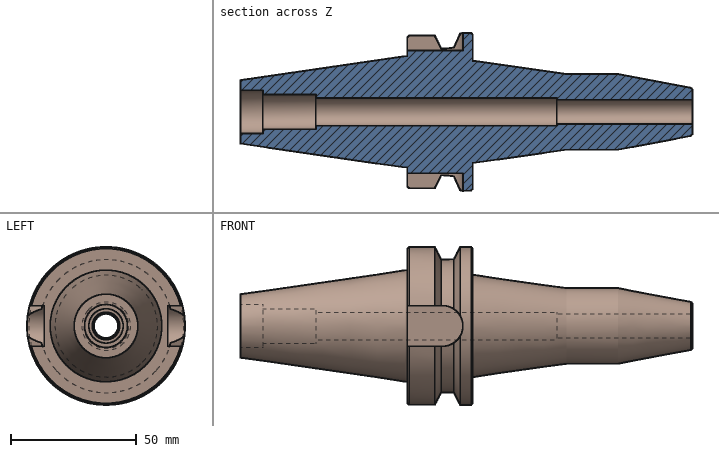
import cadquery as cq

total_length = 179.8

taper_ratio = 7 / 24
gauge_diameter = 44.5
gauge_x = 65.5
shank_end_diameter = gauge_diameter - taper_ratio * gauge_x

flange_diameter = 63.0
flange_start_x = 66.4
flange_end_x = 92.5
flange_chamfer = 0.7
groove_diameter = 53.0
groove_center_x = 82.4
groove_floor_width = 5.0
groove_mouth_width = 10.0

slot_width = 16.2
slot_end_x = 88.5
slot_floor_offset = 24.5

neck_root_diameter = 40.6
neck_taper_start_x = flange_end_x + 0.7
nose_diameter = 30.2
nose_start_x = 129.7
nose_end_x = 150.2
tip_diameter = 19.2
tip_chamfer = 0.7

bore_steps = [
    (17.0, 9.0),
    (13.7, 30.0),
    (11.0, 125.9),
    (9.5, total_length),
]


def make_body():
    """Revolve the outer profile (X, radius) about the X axis."""
    gauge_radius = gauge_diameter / 2
    flange_radius = flange_diameter / 2
    groove_radius = groove_diameter / 2
    neck_radius = neck_root_diameter / 2
    nose_radius = nose_diameter / 2
    tip_radius = tip_diameter / 2
    half_floor = groove_floor_width / 2
    half_mouth = groove_mouth_width / 2
    profile = [
        (0, 0),
        (0, shank_end_diameter / 2),
        (gauge_x, gauge_radius),
        (flange_start_x, gauge_radius),
        (flange_start_x, flange_radius - flange_chamfer),
        (flange_start_x + flange_chamfer, flange_radius),
        (groove_center_x - half_mouth, flange_radius),
        (groove_center_x - half_floor, groove_radius),
        (groove_center_x + half_floor, groove_radius),
        (groove_center_x + half_mouth, flange_radius),
        (flange_end_x - flange_chamfer, flange_radius),
        (flange_end_x, flange_radius - flange_chamfer),
        (flange_end_x, neck_radius),
        (neck_taper_start_x, neck_radius),
        (nose_start_x, nose_radius),
        (nose_end_x, nose_radius),
        (total_length - tip_chamfer, tip_radius),
        (total_length, tip_radius - tip_chamfer),
        (total_length, 0),
    ]
    return cq.Workplane("XY").polyline(profile).close().revolve(360, (0, 0, 0), (1, 0, 0))


def make_drive_slot():
    """Round-ended cutter for the slot on the +Y side, open towards the shank."""
    half_width = slot_width / 2
    arc_center_x = slot_end_x - half_width
    cutter_depth = flange_diameter / 2
    return (
        cq.Workplane("XZ", origin=(0, slot_floor_offset, 0))
        .moveTo(gauge_x, -half_width)
        .lineTo(arc_center_x, -half_width)
        .threePointArc((slot_end_x, 0), (arc_center_x, half_width))
        .lineTo(gauge_x, half_width)
        .close()
        .extrude(-cutter_depth)
    )


def make_bore():
    """Coaxial cylinders, each narrower and deeper than the one before."""
    bore = cq.Workplane("YZ")
    for diameter, depth in bore_steps:
        bore = bore.union(cq.Workplane("YZ").circle(diameter / 2).extrude(depth))
    return bore


drive_slot = make_drive_slot()
result = (
    make_body()
    .cut(drive_slot)
    .cut(drive_slot.mirror("XZ"))
    .cut(make_bore())
)